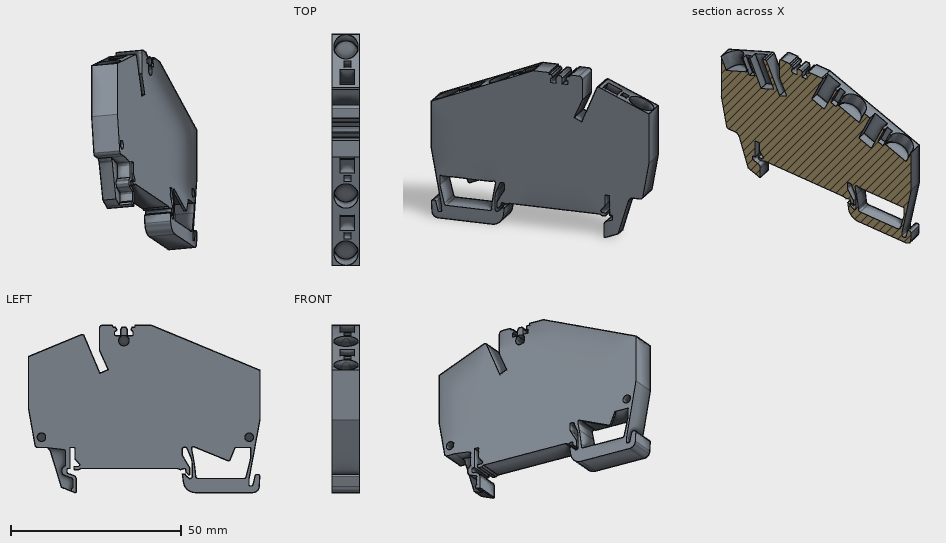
import cadquery as cq
import math

THICKNESS = 8.1
LENGTH = 67.95
HEIGHT = 49.19
HALF_LENGTH = LENGTH / 2
TOP = HEIGHT / 2
BOTTOM = -HEIGHT / 2
LEFT_FACE_X = -THICKNESS / 2
OVERLAP = 0.2

SLOPE = math.radians(22.5)
LONG_SLOPE_START_Y = -2.05
LONG_SLOPE_FOOT_Z = TOP - (LONG_SLOPE_START_Y + HALF_LENGTH) * math.tan(SLOPE)
SHORT_SLOPE_FOOT_Z = 15.4
SHORT_SLOPE_END_Y = 18.3
SHORT_SLOPE_END_Z = SHORT_SLOPE_FOOT_Z + (HALF_LENGTH - SHORT_SLOPE_END_Y) * math.tan(SLOPE)

WAIST_Z = -11.36
RAIL_SEAT_Z = -17.5

TOOTH_TIP = (-25.0, -15.4, 0.5)
TOOTH_ROOT_NEAR_ARM = (-15.11, WAIST_Z)
TOOTH_ROOT_NEAR_END = (-26.7, WAIST_Z)
TOOTH_THICKNESS = 0.7

WIRE_FROM_CORNER = 4.0
TEST_SLOT_FROM_WIRE = 5.48
TOOL_SLOT_FROM_WIRE = 9.6
TERMINAL_PITCH = 18.15
WIRE_X = 0.08
WIRE_WIDTH = 7.1
WIRE_LENGTH = 7.75
WIRE_DEPTH = 4.8
FUNNEL_RADIUS = 2.5
FUNNEL_TILT = math.radians(4.0)
FUNNEL_START_DEPTH = 0.8
SLOT_X = 0.48
TEST_SLOT_SIZE = (2.1, 1.9)
TEST_SLOT_DEPTH = 6.0
TOOL_SLOT_SIZE = (4.2, 4.7)
TOOL_SLOT_DEPTH = 10.4

PIN_HOLES = [(30.17, -8.3, 2.5), (-30.8, -8.3, 2.5), (5.98, 20.06, 3.1)]
PIN_HOLE_DEPTH = 4.0

GUSSET_RECESS = 4.0

FOOT_INNER_EDGE = [
    (28.4, WAIST_Z),
    (23.06, -12.0, 0.8),
    (23.06, -16.5),
    (24.1, -17.45, 0.5),
    (24.1, -19.2, 1.0),
    (20.98, -20.4, 0.5),
    (20.98, -23.1),
    (21.4, -23.5),
    (21.4, -24.15),
]


def rounded_outline(corners):
    """Closed YZ wire through (y, z) or (y, z, radius) corners, rounding those with a radius."""
    count = len(corners)
    stretches = []
    for i, corner in enumerate(corners):
        here = cq.Vector(corner[0], corner[1])
        if len(corner) == 2:
            stretches.append((here,))
            continue
        radius = corner[2]
        before = corners[i - 1]
        after = corners[(i + 1) % count]
        to_before = (cq.Vector(before[0], before[1]) - here).normalized()
        to_after = (cq.Vector(after[0], after[1]) - here).normalized()
        half_angle = to_before.getAngle(to_after) / 2
        tangent = radius / math.tan(half_angle)
        bisector = (to_before + to_after).normalized()
        middle = here + bisector * (radius / math.sin(half_angle) - radius)
        stretches.append((here + to_before * tangent, middle, here + to_after * tangent))

    outline = cq.Workplane("YZ", origin=(LEFT_FACE_X, 0, 0))
    outline = outline.moveTo(stretches[0][-1].x, stretches[0][-1].y)
    for stretch in stretches[1:] + stretches[:1]:
        outline = outline.lineTo(stretch[0].x, stretch[0].y)
        if len(stretch) == 3:
            outline = outline.threePointArc(
                (stretch[1].x, stretch[1].y), (stretch[2].x, stretch[2].y)
            )
    return outline.close()


def plate_corners():
    """Outer edge of the plate, starting at the +Y end and passing along the bottom first."""
    plus_y_end = [
        (HALF_LENGTH, SHORT_SLOPE_FOOT_Z),
        (HALF_LENGTH, 0.0),
        (31.95, WAIST_Z, 0.9),
    ]
    rail_catch = [
        (20.34, WAIST_Z, 0.25),
        (20.34, -14.7, 0.8),
        (18.85, -16.4, 0.3),
        (19.3, -16.89, 0.3),
        (20.62, -16.89),
        (20.62, -17.9, 0.4),
        (19.34, -17.9),
        (18.6, RAIL_SEAT_Z),
    ]
    rail_seat_end = [
        (-9.6, RAIL_SEAT_Z),
        (-10.65, -17.85),
        (-12.1, -17.35, 0.4),
        (-12.2, -18.5),
        (-13.4, -19.7, 0.25),
        (-13.4, -17.3, 1.0),
        (-11.16, -13.55, 0.5),
    ]
    spring_arm = [
        (-11.16, -11.3, 0.5),
        (-12.4, -11.3, 0.4),
        (-14.02, -15.0, 5.0),
        (-14.02, -20.2, 0.4),
        (-13.35, -20.5, 0.3),
        (-12.15, -19.5),
        (-12.1, -19.1),
    ]
    clip_foot = [
        (-11.15, -19.1),
        (-11.9, BOTTOM, 3.6),
        (-33.67, BOTTOM, 2.0),
        (-HALF_LENGTH, -19.2, 0.6),
        (-32.6, -19.2, 0.6),
        (-31.8, -22.6, 0.5),
        (-30.75, -22.6, 0.4),
        (-30.75, -20.7),
    ]
    minus_y_end = [
        (-HALF_LENGTH, -3.2),
        (-HALF_LENGTH, LONG_SLOPE_FOOT_Z),
        (LONG_SLOPE_START_Y, TOP),
    ]
    marker_channel = [
        (2.76, TOP),
        (2.76, 24.0),
        (3.55, 24.0),
        (4.0, 23.25, 0.5),
        (3.32, 22.65),
        (3.32, 21.55, 0.2),
        (4.98, 21.55),
        (4.98, 23.3),
        (5.35, 24.0, 0.2),
        (6.55, 24.0, 0.2),
        (6.9, 23.3),
        (6.9, 21.55),
        (8.7, 21.55, 0.4),
        (8.7, 22.65),
        (7.9, 23.1, 0.4),
        (8.45, 24.0),
        (9.1, 24.0),
        (9.4, TOP),
    ]
    crown_gap = [
        (13.2, TOP, 1.0),
        (13.2, 17.25),
        (10.62, 11.55),
        (13.0, 10.5),
        (17.75, 21.72),
        (SHORT_SLOPE_END_Y, SHORT_SLOPE_END_Z),
    ]
    return (
        plus_y_end
        + rail_catch
        + rail_seat_end
        + spring_arm
        + clip_foot
        + minus_y_end
        + marker_channel
        + crown_gap
    )


def clip_window():
    """Opening between the plate and the springy clip foot."""
    corners = [
        (-13.75, -10.8, 0.5),
        TOOTH_TIP,
        TOOTH_ROOT_NEAR_END,
        (-31.25, WAIST_Z),
        (-31.25, -14.3),
        (-29.75, -20.4, 0.7),
        (-15.2, -20.4, 0.6),
        (-14.85, -16.6, 50.0),
    ]
    return rounded_outline(corners).extrude(THICKNESS)


def tooth_relief():
    """Clearance behind the tooth, leaving it as a thin web flush with the -X face."""
    corners = [TOOTH_ROOT_NEAR_ARM, TOOTH_TIP, TOOTH_ROOT_NEAR_END]
    relief = rounded_outline(corners).extrude(THICKNESS - TOOTH_THICKNESS)
    return relief.translate((TOOTH_THICKNESS, 0, 0))


def fixed_foot_band():
    rail_side = [
        (20.3, BOTTOM),
        (19.9, BOTTOM + 0.15),
        (19.9, -19.75, 1.4),
        (22.6, -18.85, 0.3),
        (22.6, RAIL_SEAT_Z, 0.2),
        (21.75, RAIL_SEAT_Z),
        (21.75, WAIST_Z + OVERLAP),
        (28.4, WAIST_Z + OVERLAP),
    ]
    return rounded_outline(FOOT_INNER_EDGE + rail_side).extrude(THICKNESS)


def fixed_foot_gusset():
    outer_edge = [(24.35, -23.0), (27.6, -12.3, 0.8)]
    full_width = rounded_outline(FOOT_INNER_EDGE + outer_edge).extrude(THICKNESS)
    recess = cq.Workplane("XY").box(GUSSET_RECESS, LENGTH, HEIGHT, centered=(False, True, True))
    return full_width.cut(recess.translate((LEFT_FACE_X, 0, 0)))


def pin_hole(y, z, diameter):
    return (
        cq.Workplane("YZ", origin=(LEFT_FACE_X, y, z))
        .circle(diameter / 2)
        .extrude(PIN_HOLE_DEPTH)
    )


def terminal_cutters(end, steps_in):
    """Openings of one terminal, steps_in pitches up the slope at the -Y (-1) or +Y (+1) end."""
    corner_z = LONG_SLOPE_FOOT_Z if end < 0 else SHORT_SLOPE_FOOT_Z
    uphill = cq.Vector(0, -end * math.cos(SLOPE), math.sin(SLOPE))
    outward = cq.Vector(0, end * math.sin(SLOPE), math.cos(SLOPE))
    corner = cq.Vector(0, end * HALF_LENGTH, corner_z)
    wire_centre = corner + uphill * (WIRE_FROM_CORNER + steps_in * TERMINAL_PITCH)

    def mouth(distance, x):
        centre = wire_centre + uphill * distance + cq.Vector(x, 0, 0)
        return cq.Workplane(cq.Plane(centre, xDir=(1, 0, 0), normal=outward))

    wire = mouth(0, WIRE_X).ellipse(WIRE_WIDTH / 2, WIRE_LENGTH / 2).extrude(-WIRE_DEPTH)
    test_slot = mouth(TEST_SLOT_FROM_WIRE, SLOT_X).rect(*TEST_SLOT_SIZE).extrude(-TEST_SLOT_DEPTH)
    tool_slot = mouth(TOOL_SLOT_FROM_WIRE, SLOT_X).rect(*TOOL_SLOT_SIZE).extrude(-TOOL_SLOT_DEPTH)
    funnel_top = (
        wire_centre
        + cq.Vector(WIRE_X, 0, 0)
        + uphill * (WIRE_LENGTH / 2 - FUNNEL_RADIUS)
        - outward * FUNNEL_START_DEPTH
    )
    funnel_axis = uphill * math.sin(FUNNEL_TILT) - outward * math.cos(FUNNEL_TILT)
    funnel_length = WIRE_DEPTH - FUNNEL_START_DEPTH - FUNNEL_RADIUS * math.sin(FUNNEL_TILT)
    funnel = cq.Solid.makeCylinder(FUNNEL_RADIUS, funnel_length, funnel_top, funnel_axis)
    return wire.union(cq.Workplane(funnel)).union(test_slot).union(tool_slot)


result = rounded_outline(plate_corners()).extrude(THICKNESS)
result = result.cut(clip_window()).cut(tooth_relief())
result = result.union(fixed_foot_band()).union(fixed_foot_gusset())
for hole in PIN_HOLES:
    result = result.cut(pin_hole(*hole))
for slope_end, step in [(-1, 0), (-1, 1), (1, 0)]:
    result = result.cut(terminal_cutters(slope_end, step))